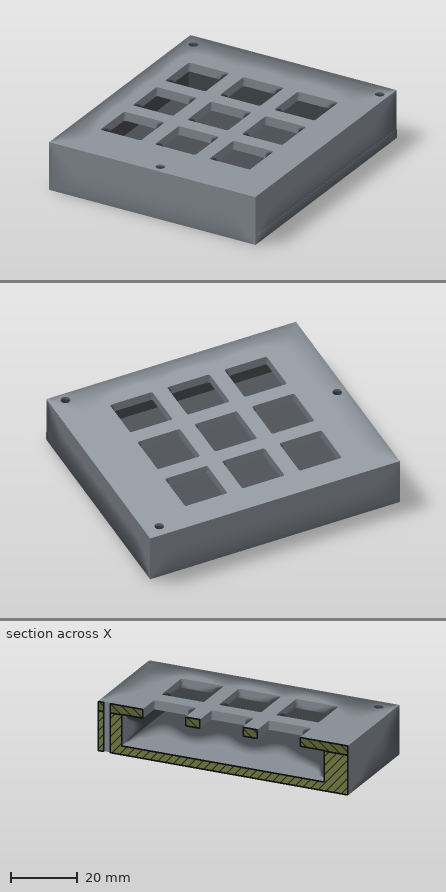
import cadquery as cq

COVER_WIDTH = 71.9
LENGTH = 83.0
HEIGHT = 16.0
COVER_THICKNESS = 3.0
BASE_HEIGHT = HEIGHT - COVER_THICKNESS

FLOOR_THICKNESS = 3.0
SIDE_WALL = 4.0
END_WALL = 8.0
LIP_REACH = 0.1
FLOOR_WIDTH = COVER_WIDTH + LIP_REACH

KEYS_PER_SIDE = 3
KEY_PITCH = 19.0
KEY_SIZE = 14.1
KEY_CORNER_RADIUS = 0.6
KEY_GRID_CENTRE = (-0.9, -0.5)

HOLE_DIAMETER = 2.9
REAR_HOLE_SIDE_INSET = 4.0
REAR_HOLE_END_INSET = 5.0
FRONT_HOLE_END_INSET = 3.0
FRONT_HOLE_X = 1.1
REAR_HOLE_LEFT_X = -COVER_WIDTH / 2 + REAR_HOLE_SIDE_INSET
REAR_HOLE_SPACING = 65.0
REAR_HOLE_Y = LENGTH / 2 - REAR_HOLE_END_INSET
HOLE_POSITIONS = [
    (REAR_HOLE_LEFT_X, REAR_HOLE_Y),
    (REAR_HOLE_LEFT_X + REAR_HOLE_SPACING, REAR_HOLE_Y),
    (FRONT_HOLE_X, -LENGTH / 2 + FRONT_HOLE_END_INSET),
]


def screw_holes():
    """Cylinders that cut the screw holes through the full height."""
    return cq.Workplane("XY").pushPoints(HOLE_POSITIONS).circle(HOLE_DIAMETER / 2).extrude(HEIGHT)


def make_base():
    """Open-topped tray whose floor forms a small lip on the +X side."""
    floor = cq.Workplane("XY").center(LIP_REACH / 2, 0).rect(FLOOR_WIDTH, LENGTH).extrude(FLOOR_THICKNESS)
    walls = (
        cq.Workplane("XY", origin=(0, 0, FLOOR_THICKNESS))
        .rect(COVER_WIDTH, LENGTH)
        .rect(COVER_WIDTH - 2 * SIDE_WALL, LENGTH - 2 * END_WALL)
        .extrude(BASE_HEIGHT - FLOOR_THICKNESS)
    )
    return floor.union(walls).cut(screw_holes())


def key_openings():
    """Square grid of round-cornered cutters, as tall as the cover is thick."""
    return (
        cq.Workplane("XY", origin=(*KEY_GRID_CENTRE, BASE_HEIGHT))
        .rarray(KEY_PITCH, KEY_PITCH, KEYS_PER_SIDE, KEYS_PER_SIDE)
        .rect(KEY_SIZE, KEY_SIZE)
        .extrude(COVER_THICKNESS)
        .edges("|Z")
        .fillet(KEY_CORNER_RADIUS)
    )


def make_cover():
    """Flat plate that closes the tray and frames the keys."""
    plate = cq.Workplane("XY", origin=(0, 0, BASE_HEIGHT)).rect(COVER_WIDTH, LENGTH).extrude(COVER_THICKNESS)
    return plate.cut(key_openings()).cut(screw_holes())


base = make_base()
cover = make_cover()

result = cq.Compound.makeCompound([base.val(), cover.val()])